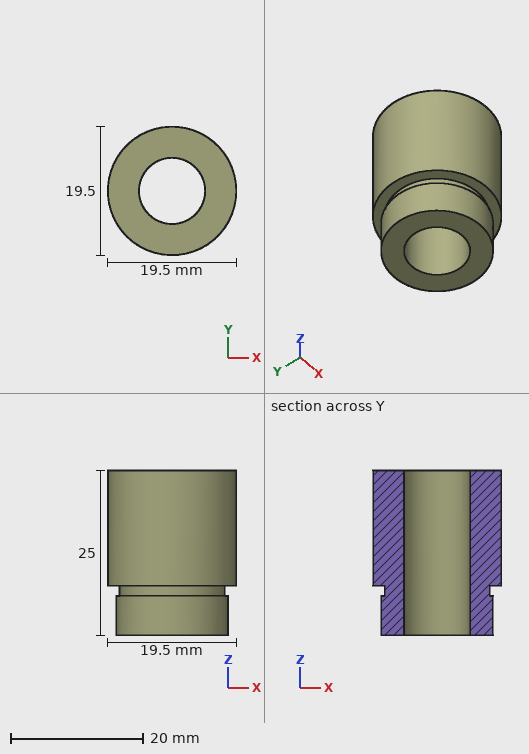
import cadquery as cq

total_height = 25.0
collar_height = 6.0
groove_width = 1.5
body_height = total_height - collar_height - groove_width

body_diameter = 19.5
collar_diameter = 17.0
groove_diameter = 16.0
bore_diameter = 10.0

sleeve = (
    cq.Workplane("XY")
    .circle(collar_diameter / 2)
    .extrude(collar_height)
    .faces(">Z")
    .workplane()
    .circle(groove_diameter / 2)
    .extrude(groove_width)
    .faces(">Z")
    .workplane()
    .circle(body_diameter / 2)
    .extrude(body_height)
)

bore = cq.Workplane("XY").circle(bore_diameter / 2).extrude(total_height)

result = sleeve.cut(bore)